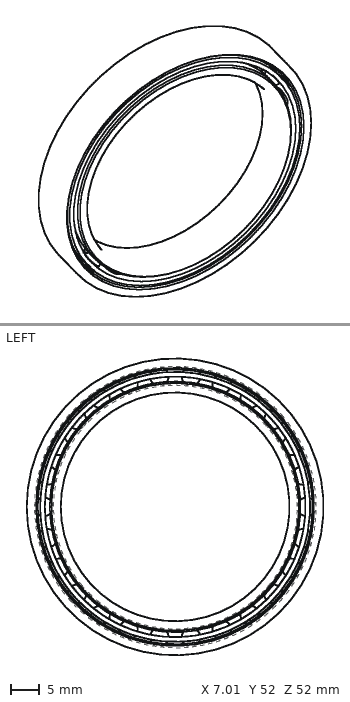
import cadquery as cq
import math

width = 7.01
bore_radius = 20.0
outer_radius = 26.0
rim_fillet = 0.3

inner_shoulder_radius = 21.95
outer_shoulder_radius = 24.05
shoulder_chamfer = 0.3

ball_count = 26
ball_radius = 1.65
pitch_radius = (bore_radius + outer_radius) / 2

cage_inner_radius = 22.8
cage_outer_radius = 23.63
cage_width = 6.6


def tube(inner_radius, outside_radius, length):
    """Plain tube along X, centred on the mid plane."""
    return (
        cq.Workplane("YZ", origin=(-length / 2, 0, 0))
        .circle(outside_radius)
        .circle(inner_radius)
        .extrude(length)
    )


def ball_track():
    """Torus swept by a ball running round the pitch circle."""
    centre = cq.Vector(0, 0, 0)
    axis = cq.Vector(1, 0, 0)
    return cq.Workplane(cq.Solid.makeTorus(pitch_radius, ball_radius, centre, axis))


def bearing_ring(rim_radius, shoulder_radius):
    """Ring with filleted rims, chamfered shoulders and a deep groove cut by the balls."""
    blank = tube(min(rim_radius, shoulder_radius), max(rim_radius, shoulder_radius), width)
    end_edges = blank.faces("<X or >X").edges("%CIRCLE")
    rims = end_edges.filter(lambda edge: math.isclose(edge.radius(), rim_radius))
    rounded = rims.fillet(rim_fillet)
    end_edges = rounded.faces("<X or >X").edges("%CIRCLE")
    shoulders = end_edges.filter(lambda edge: math.isclose(edge.radius(), shoulder_radius))
    return shoulders.chamfer(shoulder_chamfer).cut(ball_track())


def caged_balls():
    """Cage band joined to its evenly spaced balls as one solid."""
    cage = tube(cage_inner_radius, cage_outer_radius, cage_width)
    for index in range(ball_count):
        angle = 2 * math.pi * index / ball_count
        centre = (0, pitch_radius * math.cos(angle), pitch_radius * math.sin(angle))
        ball = cq.Workplane("XY").sphere(ball_radius).translate(centre)
        cage = cage.union(ball)
    return cage


outer_ring = bearing_ring(outer_radius, outer_shoulder_radius)
inner_ring = bearing_ring(bore_radius, inner_shoulder_radius)
ball_cage = caged_balls()

bodies = [outer_ring, inner_ring, ball_cage]
result = cq.Compound.makeCompound([body.solids().val() for body in bodies])